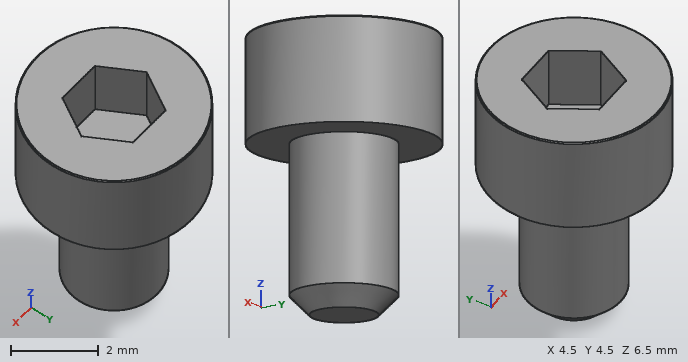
import cadquery as cq
import math

head_diameter = 4.5
head_height = 2.5
head_edge_break = 0.03

shank_diameter = 2.5
shank_length = 4.0
tip_chamfer = 0.46

hex_sides = 6
hex_across_flats = 2.06
hex_across_corners = hex_across_flats / math.cos(math.pi / hex_sides)
hex_depth = 1.6


def make_head():
    """Cylindrical head with a small edge break around its top."""
    head = cq.Workplane("XY").circle(head_diameter / 2).extrude(head_height)
    return head.faces(">Z").edges().chamfer(head_edge_break)


def make_shank():
    """Plain shank below the head, with a 45 degree chamfered tip."""
    shank = cq.Workplane("XY").circle(shank_diameter / 2).extrude(-shank_length)
    return shank.faces("<Z").edges().chamfer(tip_chamfer)


def make_hex_socket():
    """Flat-bottomed hexagonal pocket with two corners in line with the X axis."""
    return (
        cq.Workplane("XY", origin=(0, 0, head_height))
        .polygon(hex_sides, hex_across_corners)
        .extrude(-hex_depth)
    )


result = make_head().union(make_shank()).cut(make_hex_socket())